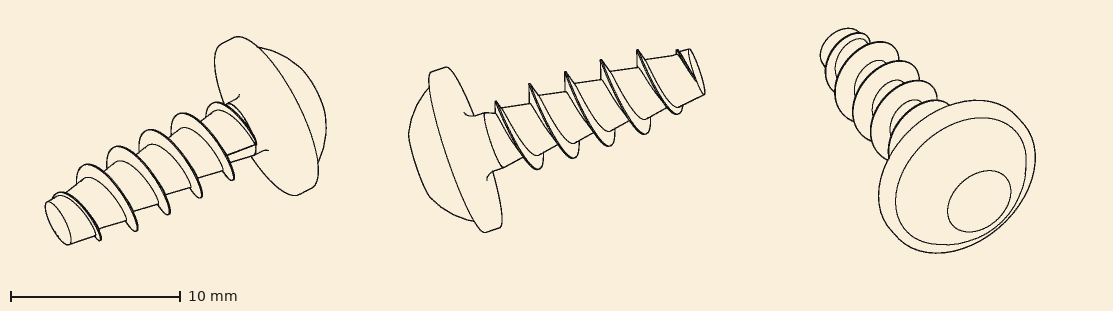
import math

import cadquery as cq

HEAD_HEIGHT = 3.3
FLANGE_RADIUS = 5.0
FLANGE_THICKNESS = 1.0
FLANGE_EDGE_FILLET = 0.08
DOME_BASE_RADIUS = 4.36
DOME_TOP_RADIUS = 2.11

SHANK_LENGTH = 14.0
NECK_RADIUS = 1.72
NECK_FILLET = 0.72
NECK_LENGTH = 1.3
CORE_RADIUS = 1.39
TIP_RECESS_RADIUS = 1.25
TIP_RECESS_DEPTH = 0.08

PITCH = 2.24
THREAD_ORIGIN = -1.13
THREAD_START = 15
THREAD_FULL = 360
THREAD_FADE = 1530
THREAD_END = 2070
CREST_RADIUS = 2.5
RUN_IN_RADIUS = 1.9
CREST_HALF_WIDTH = 0.04
ROOT_HALF_WIDTH = 0.36
FLANK_SLOPE = (ROOT_HALF_WIDTH - CREST_HALF_WIDTH) / (CREST_RADIUS - CORE_RADIUS)

SHOULDER_RADIUS = 1.68
SHOULDER_FADE = 1710
NECK_TAPER_START = 30
BURIED_RADIUS = 1.1
SINK = 0.005
POINT_STEP = 15


def crest_y(angle):
    """Y of the thread crest at the given angle."""
    return THREAD_ORIGIN - PITCH * angle / 360


def blend(angle, first, last, value_first, value_last):
    """Linear change from one value to another, held constant outside the two angles."""
    share = min(max((angle - first) / (last - first), 0), 1)
    return value_first + share * (value_last - value_first)


def turned(outline):
    """Solid of revolution of an outline in the XY plane about the screw axis, Y."""
    return outline.revolve(360, (0, 0, 0), (0, 1, 0))


def make_head():
    """Domed head with a flange and a flat top."""
    dome_height = HEAD_HEIGHT - FLANGE_THICKNESS
    centre_drop = (DOME_BASE_RADIUS**2 - DOME_TOP_RADIUS**2 - dome_height**2) / (2 * dome_height)
    dome_radius = math.hypot(DOME_BASE_RADIUS, centre_drop)
    mid_height = dome_height / 2
    mid_radius = math.sqrt(dome_radius**2 - (mid_height + centre_drop) ** 2)
    flange = (
        cq.Workplane("XZ")
        .circle(FLANGE_RADIUS)
        .extrude(-FLANGE_THICKNESS)
        .edges()
        .fillet(FLANGE_EDGE_FILLET)
    )
    dome_outline = (
        cq.Workplane("XY")
        .moveTo(0, FLANGE_THICKNESS / 2)
        .lineTo(DOME_BASE_RADIUS, FLANGE_THICKNESS / 2)
        .lineTo(DOME_BASE_RADIUS, FLANGE_THICKNESS)
        .threePointArc((mid_radius, FLANGE_THICKNESS + mid_height), (DOME_TOP_RADIUS, HEAD_HEIGHT))
        .lineTo(0, HEAD_HEIGHT)
        .close()
    )
    return flange.union(turned(dome_outline))


def make_shank():
    """Neck with a fillet under the head, and the plain core."""
    overlap = FLANGE_THICKNESS / 2
    diagonal = NECK_FILLET * (1 - math.sqrt(0.5))
    outline = (
        cq.Workplane("XY")
        .moveTo(0, overlap)
        .lineTo(NECK_RADIUS + NECK_FILLET, overlap)
        .lineTo(NECK_RADIUS + NECK_FILLET, 0)
        .threePointArc((NECK_RADIUS + diagonal, -diagonal), (NECK_RADIUS, -NECK_FILLET))
        .lineTo(NECK_RADIUS, -NECK_LENGTH)
        .lineTo(CORE_RADIUS, -NECK_LENGTH)
        .lineTo(CORE_RADIUS, -SHANK_LENGTH)
        .lineTo(0, -SHANK_LENGTH)
        .close()
    )
    return turned(outline)


def make_helical_body(section, stops):
    """Solid swept by section(angle), a list of (radius, y) corners.

    The stops are the angles of both ends and of any change of slope between them.
    """

    def placed_corners(angle):
        turn = math.radians(angle)
        return [cq.Vector(r * math.cos(turn), y, r * math.sin(turn)) for r, y in section(angle)]

    faces = []
    for first, last in zip(stops, stops[1:]):
        count = math.ceil((last - first) / POINT_STEP)
        rings = [placed_corners(first + (last - first) * i / count) for i in range(count + 1)]
        edges = [cq.Edge.makeSpline(list(track)) for track in zip(*rings)]
        faces += [cq.Face.makeRuledSurface(edges[i - 1], edges[i]) for i in range(len(edges))]
    for end in (stops[0], stops[-1]):
        faces.append(cq.Face.makeFromWires(cq.Wire.makePolygon(placed_corners(end), close=True)))
    return cq.Workplane(cq.Solid.makeSolid(cq.Shell.makeShell(faces)).fix())


def thread_section(angle):
    """V-shaped ridge, followed by the core that tapers down to the next turn."""
    run_in = blend(angle, THREAD_START, THREAD_FULL, RUN_IN_RADIUS, CREST_RADIUS)
    run_out = blend(angle, THREAD_FADE, THREAD_END, CREST_RADIUS, CORE_RADIUS)
    crest = min(run_in, run_out)
    shoulder = blend(angle, SHOULDER_FADE, THREAD_END, SHOULDER_RADIUS, CORE_RADIUS - SINK)
    y = crest_y(angle)
    taper_end = y - PITCH + ROOT_HALF_WIDTH + SINK

    def half_width(radius):
        return CREST_HALF_WIDTH + FLANK_SLOPE * (crest - radius)

    return [
        (BURIED_RADIUS, y + half_width(CORE_RADIUS - SINK)),
        (CORE_RADIUS - SINK, y + half_width(CORE_RADIUS - SINK)),
        (crest, y + CREST_HALF_WIDTH),
        (crest, y - CREST_HALF_WIDTH),
        (shoulder, y - half_width(shoulder)),
        (CORE_RADIUS - SINK, taper_end),
        (BURIED_RADIUS, taper_end),
    ]


def neck_taper_section(angle):
    """Tapered core from the end of the neck to the first turn of the thread."""
    y = crest_y(angle)
    return [
        (BURIED_RADIUS, -NECK_LENGTH),
        (NECK_RADIUS, -NECK_LENGTH),
        (CORE_RADIUS - SINK, y),
        (BURIED_RADIUS, y),
    ]


def make_tip_recess():
    """Shallow conical dent in the tip."""
    outline = (
        cq.Workplane("XY")
        .moveTo(0, -SHANK_LENGTH)
        .lineTo(TIP_RECESS_RADIUS, -SHANK_LENGTH)
        .lineTo(0, -SHANK_LENGTH + TIP_RECESS_DEPTH)
        .close()
    )
    return turned(outline)


def make_threaded_zone():
    """Cylinder that trims the thread at the neck and at the tip."""
    return (
        cq.Workplane("XZ", origin=(0, -NECK_LENGTH, 0))
        .circle(2 * CREST_RADIUS)
        .extrude(SHANK_LENGTH - NECK_LENGTH)
    )


thread_stops = [THREAD_START, THREAD_FULL, THREAD_FADE, SHOULDER_FADE, THREAD_END]
thread = make_helical_body(thread_section, thread_stops)
neck_taper = make_helical_body(neck_taper_section, [NECK_TAPER_START, THREAD_FULL + THREAD_START])

result = make_head().union(make_shank())
result = result.union(thread.intersect(make_threaded_zone()))
result = result.union(neck_taper)
result = result.cut(make_tip_recess())